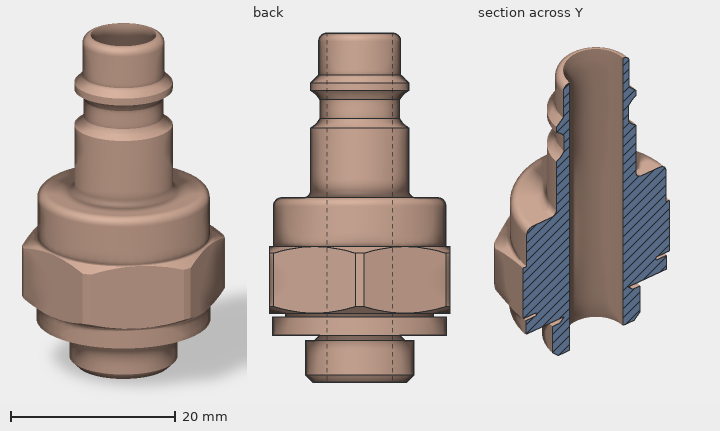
import cadquery as cq
import math

total_height = 42.5
thread_chamfer = 0.9
thread_top = 5.1
washer_bottom = 5.75
washer_top = 8.0
hex_bottom = 8.4
hex_top = 16.55
body_top = 22.5
barrel_top = 30.95
groove_bottom = 32.1
collar_bottom = 35.55
collar_top = 36.42

bore_radius = 8.0 / 2
thread_radius = 13.18 / 2
undercut_radius = 9.75 / 2
washer_radius = 21.2 / 2
hex_neck_radius = 18.0 / 2
body_radius = 21.0 / 2
shoulder_radius = 13.6 / 2
barrel_radius = 12.0 / 2
groove_radius = 9.75 / 2
tip_radius = 10.0 / 2

across_flats = 22.0
corner_diameter = 24.8
hex_chamfer_angle = math.radians(30)

body_round = 1.0
shoulder_fillet = shoulder_radius - barrel_radius
tip_round = tip_radius - bore_radius
collar_slope = barrel_radius - tip_radius
groove_slope = barrel_radius - groove_radius
groove_sag = 0.13
undercut_flare = washer_bottom - thread_top
diagonal = math.sqrt(0.5)


def quarter_arc(profile, center_r, center_z, radius, r_sign, z_sign, end):
    """Add a quarter arc bulging diagonally from its center, finishing at end."""
    middle = (center_r + r_sign * radius * diagonal, center_z + z_sign * radius * diagonal)
    return profile.threePointArc(middle, end)


def make_turned_body():
    """Revolve the threaded end, washer, round body and plug nipple."""
    profile = (
        cq.Workplane("XZ")
        .moveTo(bore_radius, 0)
        .lineTo(thread_radius - thread_chamfer, 0)
        .lineTo(thread_radius, thread_chamfer)
        .lineTo(thread_radius, thread_top)
        .lineTo(undercut_radius + undercut_flare, thread_top)
        .lineTo(undercut_radius, washer_bottom)
        .lineTo(washer_radius, washer_bottom)
        .lineTo(washer_radius, washer_top)
        .lineTo(hex_neck_radius, washer_top)
        .lineTo(hex_neck_radius, hex_bottom)
        .lineTo(body_radius, hex_bottom)
        .lineTo(body_radius, body_top - body_round)
    )
    profile = quarter_arc(
        profile, body_radius - body_round, body_top - body_round, body_round, 1, 1,
        (body_radius - body_round, body_top),
    )
    profile = profile.lineTo(shoulder_radius, body_top)
    profile = quarter_arc(
        profile, shoulder_radius, body_top + shoulder_fillet, shoulder_fillet, -1, -1,
        (barrel_radius, body_top + shoulder_fillet),
    )
    profile = (
        profile.lineTo(barrel_radius, barrel_top)
        .sagittaArc((groove_radius, groove_bottom), groove_sag)
        .lineTo(groove_radius, collar_bottom - groove_slope)
        .sagittaArc((barrel_radius, collar_bottom), groove_sag)
        .lineTo(barrel_radius, collar_top)
        .lineTo(tip_radius, collar_top + collar_slope)
        .lineTo(tip_radius, total_height - tip_round)
    )
    profile = quarter_arc(
        profile, bore_radius, total_height - tip_round, tip_round, 1, 1,
        (bore_radius, total_height),
    )
    return profile.close().revolve(360, (0, 0, 0), (0, 1, 0))


def make_hexagon():
    """Hexagon with corners on +Y and -Y, turned down and chamfered at both ends."""
    flat_radius = across_flats / 2
    corner_radius = corner_diameter / 2
    chamfer_height = (corner_radius - flat_radius) * math.tan(hex_chamfer_angle)
    prism = (
        cq.Workplane("XY", origin=(0, 0, hex_bottom))
        .polygon(6, across_flats, circumscribed=True)
        .extrude(hex_top - hex_bottom)
    )
    envelope = (
        cq.Workplane("XZ")
        .moveTo(0, hex_bottom)
        .lineTo(flat_radius, hex_bottom)
        .lineTo(corner_radius, hex_bottom + chamfer_height)
        .lineTo(corner_radius, hex_top - chamfer_height)
        .lineTo(flat_radius, hex_top)
        .lineTo(0, hex_top)
        .close()
        .revolve(360, (0, 0, 0), (0, 1, 0))
    )
    bore = cq.Workplane("XY").circle(bore_radius).extrude(total_height)
    return prism.intersect(envelope).cut(bore)


result = make_turned_body().union(make_hexagon())